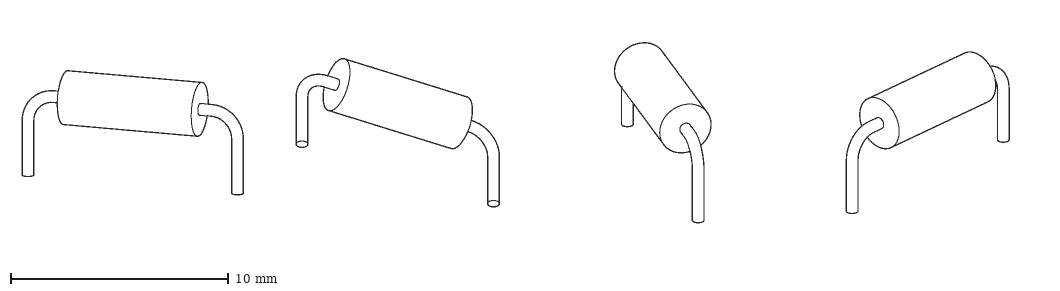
import cadquery as cq

BODY_DIAMETER = 2.5
BODY_LENGTH = 6.5
LEAD_DIAMETER = 0.55
LEAD_PITCH = 10.16
LEAD_DEPTH = 2.6
BEND_RADIUS = 1.25

AXIS_HEIGHT = BODY_DIAMETER / 2


def make_body():
    """Cylinder centred on X = 0 at the axis height."""
    return (
        cq.Workplane("YZ", origin=(-BODY_LENGTH / 2, 0, AXIS_HEIGHT))
        .circle(BODY_DIAMETER / 2)
        .extrude(BODY_LENGTH)
    )


def make_lead(side):
    """Bent wire leaving the body end at the given side (-1 or +1 along X)."""
    body_end = side * BODY_LENGTH / 2
    pin_x = side * LEAD_PITCH / 2
    bend_start = pin_x - side * BEND_RADIUS
    bend_bottom = AXIS_HEIGHT - BEND_RADIUS

    stub = (
        cq.Workplane("YZ", origin=(body_end, 0, AXIS_HEIGHT))
        .circle(LEAD_DIAMETER / 2)
        .extrude(bend_start - body_end)
    )
    bend = (
        cq.Workplane("YZ", origin=(bend_start, 0, AXIS_HEIGHT))
        .circle(LEAD_DIAMETER / 2)
        .revolve(90, (0, -BEND_RADIUS, 0), (side, -BEND_RADIUS, 0))
    )
    pin = (
        cq.Workplane("XY", origin=(pin_x, 0, -LEAD_DEPTH))
        .circle(LEAD_DIAMETER / 2)
        .extrude(LEAD_DEPTH + bend_bottom)
    )
    return stub.union(bend).union(pin)


result = make_body()
for lead_side in (-1, 1):
    result = result.union(make_lead(lead_side))